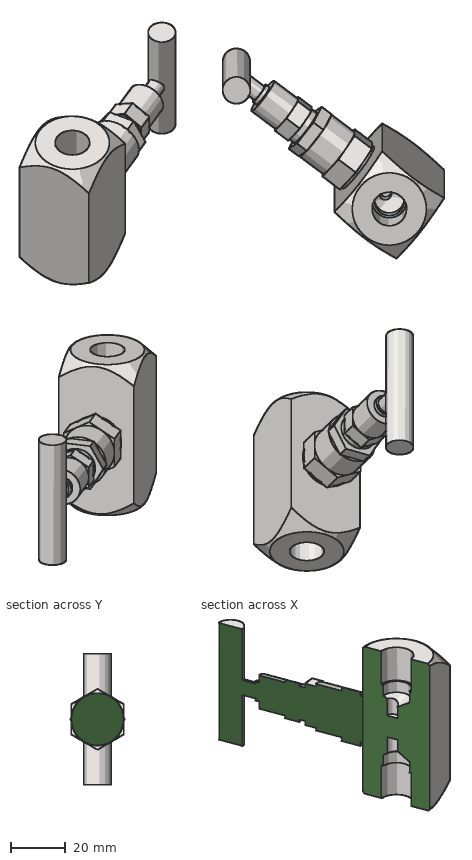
import cadquery as cq
import math

block_width = 28.6
block_height = 60.0
crown_diameter = 26.95
crown_slope = 45.0

port_diameter = 12.5
port_depth = 13.4
drill_diameter = 10.9
drill_depth = 17.9
drill_tip_angle = 118.0
passage_diameter = 4.3
passage_offset = 1.7
passage_floor = 4.5

bonnet_diameter = 19.2
gland_diameter = 13.8
collar_diameter = 8.0
stem_diameter = 6.3
lock_nut_flats = 17.1

seat_length = 1.0
bonnet_hex_length = 8.1
bonnet_length = 10.7
lock_nut_length = 4.6
neck_length = 2.4
gland_hex_length = 6.2
gland_length = 10.9
collar_length = 1.6

overall_length = 89.5
handle_diameter = 10.0
handle_length = 47.7

block_face = block_width / 2
handle_axis = overall_length - block_face - handle_diameter / 2


def revolved(profile):
    """Turn an outline of (radius, height) points about the Z axis."""
    return cq.Workplane("XZ").polyline(profile).close().revolve(360, (0, 0), (0, 1))


def make_crown_envelope():
    """Cylinder around the block with both ends coned down to the crown."""
    end = block_height / 2
    crown_radius = crown_diameter / 2
    outer_radius = block_width
    drop = (outer_radius - crown_radius) * math.tan(math.radians(crown_slope))
    return revolved([
        (0, -end),
        (crown_radius, -end),
        (outer_radius, -end + drop),
        (outer_radius, end - drop),
        (crown_radius, end),
        (0, end),
    ])


def make_port():
    """Upper port: wide bore, narrower drilled hole with a cone end, and passage."""
    top = block_height / 2
    port_radius = port_diameter / 2
    drill_radius = drill_diameter / 2
    ledge = top - port_depth
    wall_end = top - drill_depth
    tip_depth = drill_radius / math.tan(math.radians(drill_tip_angle / 2))
    bore = revolved([
        (0, wall_end - tip_depth),
        (drill_radius, wall_end),
        (drill_radius, ledge),
        (port_radius, ledge),
        (port_radius, top),
        (0, top),
    ])
    passage = (
        cq.Workplane("XY", origin=(0, passage_offset, passage_floor))
        .circle(passage_diameter / 2)
        .extrude(wall_end - passage_floor)
    )
    return bore.union(passage)


def make_block():
    bar = cq.Workplane("XY").box(block_width, block_width, block_height)
    port = make_port()
    return bar.intersect(make_crown_envelope()).cut(port).cut(port.mirror("XY"))


def round_step(start, length, diameter):
    """Round section along +Y from the given position."""
    return cq.Workplane("XZ", origin=(0, start, 0)).circle(diameter / 2).extrude(-length)


def hex_step(start, length, across_flats, turn=0):
    """Hexagon along +Y: flats face +-X, or as turned about Y by degrees."""
    across_corners = across_flats / math.cos(math.radians(30))
    return (
        cq.Workplane("XZ", origin=(0, start, 0))
        .transformed(rotate=(0, 0, 90 + turn))
        .polygon(6, across_corners)
        .extrude(-length)
    )


def make_valve_head():
    seat_end = block_face + seat_length
    bonnet_hex_end = seat_end + bonnet_hex_length
    bonnet_end = bonnet_hex_end + bonnet_length
    lock_nut_end = bonnet_end + lock_nut_length
    neck_end = lock_nut_end + neck_length
    gland_hex_end = neck_end + gland_hex_length
    gland_end = gland_hex_end + gland_length
    collar_end = gland_end + collar_length

    handle = (
        cq.Workplane("XY", origin=(0, handle_axis, -handle_length / 2))
        .circle(handle_diameter / 2)
        .extrude(handle_length)
    )
    return (
        round_step(block_face, seat_length, bonnet_diameter)
        .union(hex_step(seat_end, bonnet_hex_length, bonnet_diameter))
        .union(round_step(bonnet_hex_end, bonnet_length, bonnet_diameter))
        .union(hex_step(bonnet_end, lock_nut_length, lock_nut_flats, turn=30))
        .union(round_step(lock_nut_end, neck_length, gland_diameter))
        .union(hex_step(neck_end, gland_hex_length, gland_diameter))
        .union(round_step(gland_hex_end, gland_length, gland_diameter))
        .union(round_step(gland_end, collar_length, collar_diameter))
        .union(round_step(collar_end, handle_axis - collar_end, stem_diameter))
        .union(handle)
    )


block = make_block()
valve_head = make_valve_head()

result = cq.Compound.makeCompound([block.val(), valve_head.val()])